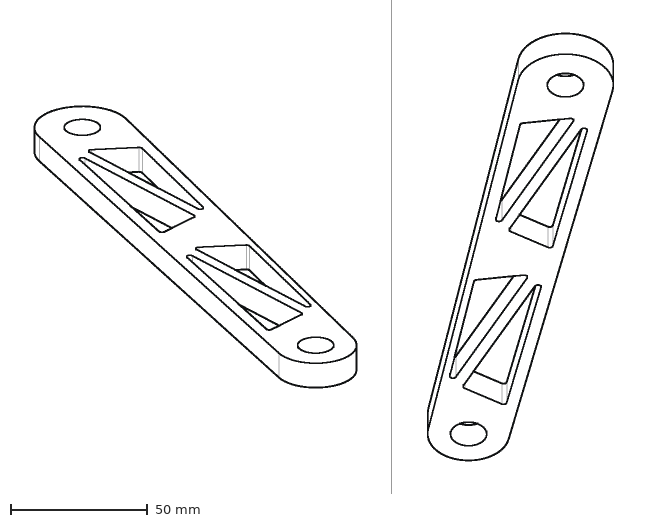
import cadquery as cq
import math

thickness = 10.0
large_end_radius = 35.0 / 2
small_end_radius = 30.0 / 2
hole_spacing = 200.0
hole_diameter = 13.3

rail_width = 4.9
corner_radius = 1.2
window_pairs = 2
window_pitch = 90.0
window_rise = 1.0
strut_slope = 0.265
upper_window_top_x = 24.2
upper_window_corner = (17.5, -7.0)
lower_window_corner = (84.5, 6.0)
lower_window_bottom_x = 91.8

small_end_x = hole_spacing
taper_sine = (large_end_radius - small_end_radius) / hole_spacing
taper_cosine = math.sqrt(1 - taper_sine**2)
taper_slope = taper_sine / taper_cosine
rail_height_at_origin = (large_end_radius - rail_width) / taper_cosine


def tangent_point(center_x, radius):
    """Upper point where the straight edge meets an end arc."""
    return (center_x + radius * taper_sine, radius * taper_cosine)


def rail_height(x):
    """Height of the inner edge of the upper rail above the centre line."""
    return rail_height_at_origin - taper_slope * x


def strut_rail_crossing(corner, side):
    """Point where the strut edge through corner meets the rail on the given side."""
    corner_x, corner_y = corner
    rise = side * rail_height(corner_x) - corner_y
    x = corner_x + rise / (strut_slope + side * taper_slope)
    return (x, side * rail_height(x))


def make_body():
    large_x, large_y = tangent_point(0, large_end_radius)
    small_x, small_y = tangent_point(small_end_x, small_end_radius)
    return (
        cq.Workplane("XY")
        .moveTo(large_x, large_y)
        .lineTo(small_x, small_y)
        .threePointArc((small_end_x + small_end_radius, 0), (small_x, -small_y))
        .lineTo(large_x, -large_y)
        .threePointArc((-large_end_radius, 0), (large_x, large_y))
        .close()
        .extrude(thickness)
    )


def make_window(corners):
    return cq.Workplane("XY").polyline(corners).close().extrude(thickness).edges("|Z").fillet(corner_radius)


upper_window = make_window([
    upper_window_corner,
    (upper_window_top_x, rail_height(upper_window_top_x)),
    strut_rail_crossing(upper_window_corner, 1),
])
lower_window = make_window([
    lower_window_corner,
    (lower_window_bottom_x, -rail_height(lower_window_bottom_x)),
    strut_rail_crossing(lower_window_corner, -1),
])

link = make_body()
for index in range(window_pairs):
    offset = (index * window_pitch, index * window_rise, 0)
    for window in (upper_window, lower_window):
        link = link.cut(window.translate(offset))

holes = (
    cq.Workplane("XY")
    .pushPoints([(0, 0), (small_end_x, 0)])
    .circle(hole_diameter / 2)
    .extrude(thickness)
)

center_x = (small_end_x + small_end_radius - large_end_radius) / 2
result = link.cut(holes).translate((-center_x, 0, -thickness / 2))